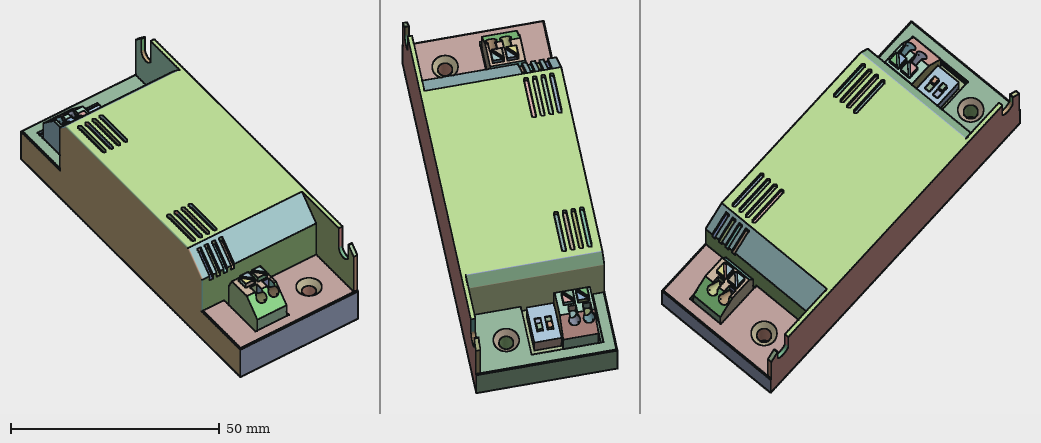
import cadquery as cq
import math

length = 91.3
width = 34.6
height = 26.3
floor_z = 9.9
floor_lip = 0.3

foot_height = 0.4
foot_inset = 1.4

hood_left_x = -29.6
hood_right_x = 29.8
left_bevel = 2.5
right_bevel = 5.9
hood_rounding = 0.3

plate_thickness = 1.1
plate_end_inset = 0.3
ear_top_z = 23.8
ear_bevel = 2.2
notch_width = 3.8
notch_x = 41.1
notch_bottom_z = 17.9

screw_x = 37.8
screw_y = 8.4
screw_diameter = 3.5
sink_diameter = 6.2
sink_angle = 90.0

slot_length = 11.0
slot_width = 1.0
slot_depth = 1.4
slot_count = 4
slot_pitch = 2.1
first_slot_y = -14.6
top_slot_centres_x = (-19.9, 17.2)
bevel_slot_start_x = 24.65

pocket_depth = 2.3
pocket_end_x = 42.8
left_pocket_y = (-14.4, 3.2)
right_pocket_y = (-10.9, -1.0)
ledge_drop = 0.9
ledge_end_width = 0.3
ledge_side_width = 0.55

terminal_length = 12.0
terminal_width = 8.6
terminal_top_z = 17.4
entry_slope = 4.4
back_slope_length = 1.4
back_slope_drop = 2.65
left_terminal_y = -9.0
right_terminal_y = -5.75
left_terminal_end_x = -42.0
right_terminal_end_x = 42.5

wire_offsets = (0.9, -2.65)
wire_diameter = 2.7
wire_depth = 6.4
wire_drop = 1.3
groove_width = 1.9
groove_end = 6.4
groove_depth = 2.7

button_offsets = (1.5, -2.1)
button_start = 6.85
button_size = 3.0
button_width = 2.8
button_height = 1.4
button_slit_width = 0.55
button_slit_depth = 0.6

switch_end_x = -40.7
switch_length = 9.7
switch_y = (-4.6, 2.1)
switch_top_z = 11.7
window_start_x = -37.9
window_length = 3.6
window_width = 1.5
window_depth = 0.4
window_centres_y = (-2.5, 0.1)
knob_length = 1.6
knob_width = 1.3
knob_top_z = 12.7

pocket_floor_z = floor_z - pocket_depth


def box(x_range, y_range, z_range):
    """Axis-aligned block between the given limits."""
    size = [high - low for low, high in (x_range, y_range, z_range)]
    return cq.Workplane("XY").box(*size, centered=False).translate((x_range[0], y_range[0], z_range[0]))


def side_profile(points, y_range):
    """Outline in X and Z, filled between two Y positions."""
    depth = y_range[1] - y_range[0]
    return cq.Workplane("XZ", origin=(0, y_range[1], 0)).polyline(points).close().extrude(depth)


def make_base():
    foot = box(
        (-length / 2 + foot_inset, length / 2 - foot_inset),
        (-width / 2 + foot_inset, width / 2 - foot_inset),
        (0, foot_height),
    )
    block = box((-length / 2, length / 2), (-width / 2, width / 2), (foot_height, floor_z))
    block = block.faces(">Z").edges("|Y or <Y").chamfer(floor_lip)
    return block.union(foot)


def make_hood():
    outline = [
        (hood_left_x, foot_height),
        (hood_left_x, height - left_bevel),
        (hood_left_x + left_bevel, height),
        (hood_right_x - right_bevel, height),
        (hood_right_x, height - right_bevel),
        (hood_right_x, foot_height),
    ]
    hood = side_profile(outline, (-width / 2, width / 2))
    bevel_middle = (hood_left_x + left_bevel / 2, 0, height - left_bevel / 2)
    bevel_edges = hood.faces(cq.NearestToPointSelector(bevel_middle)).edges("|Y")
    hood = bevel_edges.fillet(hood_rounding)
    return hood.faces("<Y").edges("not <Z").fillet(hood_rounding)


def make_plate():
    end_x = length / 2 - plate_end_inset
    y_range = (width / 2 - plate_thickness, width / 2)
    plate = box((-end_x, end_x), y_range, (foot_height, height))
    radius = notch_width / 2
    round_z = notch_bottom_z + radius
    for side in (-1, 1):
        inner_x = side * (notch_x - radius)
        outer_x = side * (notch_x + radius)
        plate = plate.cut(box(sorted((inner_x, outer_x)), y_range, (round_z, height)))
        round_end = (
            cq.Workplane("XZ", origin=(side * notch_x, width / 2, round_z))
            .circle(radius)
            .extrude(plate_thickness)
        )
        plate = plate.cut(round_end)
        ear_waste = [
            (outer_x, height),
            (outer_x, ear_top_z),
            (side * (end_x - ear_bevel), ear_top_z),
            (side * end_x, ear_top_z - ear_bevel),
            (side * end_x, height),
        ]
        plate = plate.cut(side_profile(ear_waste, y_range))
    return plate


def make_vents():
    vents = (
        cq.Workplane("XY", origin=(0, 0, height - slot_depth))
        .pushPoints(
            [
                (x, first_slot_y + row * slot_pitch)
                for x in top_slot_centres_x
                for row in range(slot_count)
            ]
        )
        .slot2D(slot_length, slot_width)
        .extrude(slot_depth)
    )
    start_z = height - (bevel_slot_start_x - (hood_right_x - right_bevel))
    end_z = height - right_bevel
    outline = [
        (bevel_slot_start_x, height),
        (bevel_slot_start_x, start_z - slot_depth),
        (hood_right_x, end_z - slot_depth),
        (hood_right_x, height),
    ]
    for row in range(slot_count):
        y = first_slot_y + row * slot_pitch
        vents = vents.union(side_profile(outline, (y - slot_width / 2, y + slot_width / 2)))
    return vents


def make_left_pocket():
    """Pocket with a ledge along its outer end and its -Y side."""
    low_y, high_y = left_pocket_y
    mouth = box((-pocket_end_x, hood_left_x), left_pocket_y, (floor_z - ledge_drop, floor_z))
    well = box(
        (ledge_end_width - pocket_end_x, hood_left_x),
        (low_y + ledge_side_width, high_y),
        (pocket_floor_z, floor_z),
    )
    return mouth.union(well)


def make_terminal():
    """Terminal with its entry end at X = 0 and its middle at Y = 0."""
    half = terminal_width / 2
    outline = [
        (0, pocket_floor_z),
        (0, terminal_top_z - entry_slope),
        (entry_slope, terminal_top_z),
        (terminal_length - back_slope_length, terminal_top_z),
        (terminal_length, terminal_top_z - back_slope_drop),
        (terminal_length, pocket_floor_z),
    ]
    terminal = side_profile(outline, (-half, half))

    for y in wire_offsets:
        entry = cq.Vector(entry_slope - wire_drop, y, terminal_top_z - wire_drop)
        hole = cq.Solid.makeCylinder(wire_diameter / 2, wire_depth, entry, cq.Vector(1, 0, -1))
        groove = box(
            (entry.x, groove_end),
            (y - groove_width / 2, y + groove_width / 2),
            (terminal_top_z - groove_depth, terminal_top_z),
        )
        terminal = terminal.cut(cq.Workplane(hole)).cut(groove)

    for y in button_offsets:
        button = box(
            (button_start, button_start + button_size),
            (y - button_width / 2, y + button_width / 2),
            (terminal_top_z, terminal_top_z + button_height),
        )
        slit = (
            cq.Workplane("XY")
            .box(2 * button_size, button_slit_width, 2 * button_slit_depth)
            .rotate((0, 0, 0), (0, 0, 1), math.degrees(math.atan2(button_width, button_size)))
            .translate((button_start + button_size / 2, y, terminal_top_z + button_height))
        )
        terminal = terminal.union(button.cut(slit))
    return terminal


def make_switch():
    switch = box((switch_end_x, switch_end_x + switch_length), switch_y, (pocket_floor_z, switch_top_z))
    window_floor_z = switch_top_z - window_depth
    for y in window_centres_y:
        window = box(
            (window_start_x, window_start_x + window_length),
            (y - window_width / 2, y + window_width / 2),
            (window_floor_z, switch_top_z),
        )
        knob = box(
            (window_start_x, window_start_x + knob_length),
            (y - knob_width / 2, y + knob_width / 2),
            (window_floor_z, knob_top_z),
        )
        switch = switch.cut(window).union(knob)
    return switch


housing = make_base().union(make_hood()).union(make_plate())
housing = housing.cut(make_vents())
housing = housing.cut(make_left_pocket())
housing = housing.cut(box((hood_right_x, pocket_end_x), right_pocket_y, (pocket_floor_z, floor_z)))
housing = (
    housing.copyWorkplane(cq.Workplane("XY", origin=(0, 0, floor_z)))
    .pushPoints([(-screw_x, screw_y), (screw_x, screw_y)])
    .cskHole(screw_diameter, sink_diameter, sink_angle)
)

terminal = make_terminal()
turned_terminal = terminal.rotate((0, 0, 0), (0, 0, 1), 180)
left_terminal = terminal.translate((left_terminal_end_x, left_terminal_y, 0))
right_terminal = turned_terminal.translate((right_terminal_end_x, right_terminal_y, 0))

result = housing.union(left_terminal).union(right_terminal).union(make_switch())